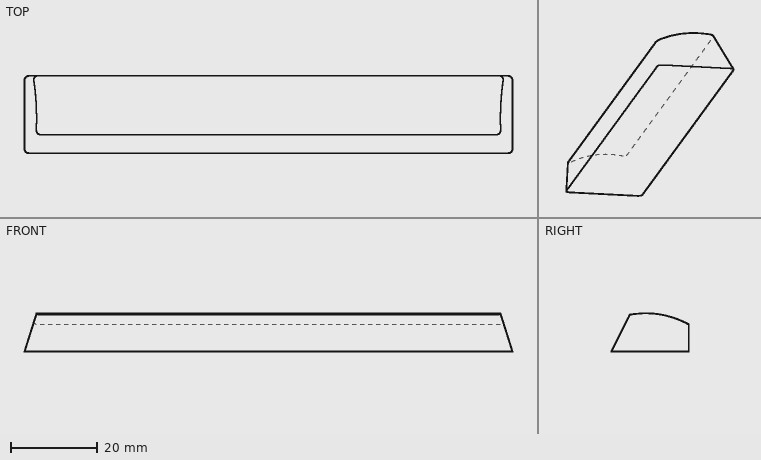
import cadquery as cq

length = 113.3
depth = 18.0
height = 9.0

back_height = 6.3
front_edge_height = 8.6
front_setback = 4.3
crown_setback = 7.8

end_setback = 2.8
corner_radius = 1.1

front_y = -depth / 2
back_y = depth / 2


def arched_bar():
    """Side profile extruded over the full length."""
    return (
        cq.Workplane("YZ")
        .moveTo(front_y, 0)
        .lineTo(back_y, 0)
        .lineTo(back_y, back_height)
        .threePointArc(
            (front_y + crown_setback, height),
            (front_y + front_setback, front_edge_height),
        )
        .close()
        .extrude(length / 2, both=True)
    )


def sloped_end_envelope():
    """Triangle along the length whose two sides give both ends their slope."""
    half_base = length / 2
    apex_height = half_base * height / end_setback
    return (
        cq.Workplane("XZ")
        .polyline([(-half_base, 0), (half_base, 0), (0, apex_height)])
        .close()
        .extrude(depth, both=True)
    )


def round_corners(solid):
    """Round the four corner edges where the ends meet the front and back."""
    corner_zone = cq.selectors.BoxSelector(
        (-length, -depth, height / 4),
        (length, depth, back_height),
    )
    return solid.edges(corner_zone).fillet(corner_radius)


body = arched_bar().intersect(sloped_end_envelope())
result = round_corners(body)